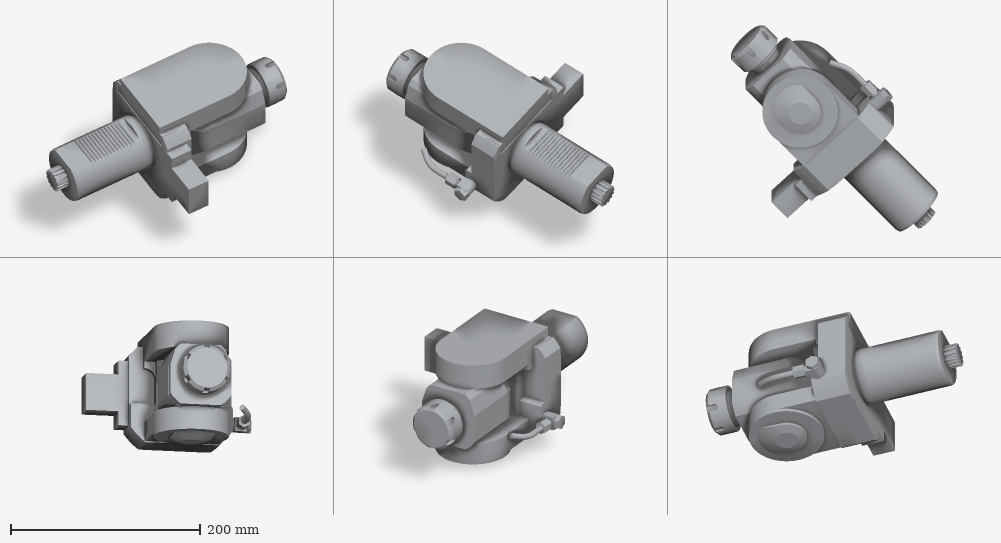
import cadquery as cq
import math



def box(x0, x1, y0, y1, z0, z1):
    """Box given by its limits along each axis."""
    return cq.Workplane("XY").box(x1 - x0, y1 - y0, z1 - z0, centered=False).translate((x0, y0, z0))


def along_y(y0, y1):
    """XZ sketch plane at y0 and the signed extrusion that takes a sketch to y1."""
    return cq.Workplane("XZ", origin=(0, y0, 0)), y0 - y1


def disc_y(radius, y0, y1, x=0, z=0):
    """Cylinder along Y from y0 to y1."""
    plane, length = along_y(y0, y1)
    return plane.center(x, z).circle(radius).extrude(length)


def prism_x(points, half_width):
    """Prism symmetric about X = 0 from a (y, z) outline."""
    return cq.Workplane("YZ").polyline(points).close().extrude(half_width, both=True)


flange_half = 55.0
flange_top = 49.0
flange_round = 67.5
flange_thick = 30.7
foot_back = 38.5
foot_top = -12.7
foot_chamfer = 2.2
face_bevel_radius = 61.5
face_bevel_depth = 0.8
ring_groove_radius = 32.0
ring_groove_depth = 1.7

rail_half = 44.3
rail_bottom = 34.0
rail_depth = 18.3
rail_gap = 0.5
rail_recess = 0.8

shank_radius = 60.0 / 2
neck_radius = 58.7 / 2
neck_length = 3.0
neck_groove_radius = 28.2
neck_groove_width = 1.7
shank_length = 94.5
shank_chamfer = 3.3
shank_chamfer_rise = 0.8
flat_height = 25.0
flat_start = 10.2
tooth_start = 15.8
tooth_rows_length = 56.0
tooth_count = 14
tooth_pitch = tooth_rows_length / tooth_count
tooth_depth = 1.7
tooth_width = 2.5

spline_end = 108.0
spline_outer = 12.5
spline_root = 10.5
spline_teeth = 14
spline_tooth_width = 2.5

block_end = 100.2
block_thick = 24.5
block_half_height = 20.0
pad_end = 65.4
pad_half_height = 35.0

pivot_y = 85.8
arm_half = 80.0 / 2
fork_top = 32.0
fork_bottom = -32.7
lid_top = 59.8
lid_bottom = 45.7
lid_front = 0.5
lid_corner = 0.8
arm_bottom = -53.7
disc_bottom = -57.3
column_half = 28.2
column_face = 41.5
wedge_bottom = 8.0
wedge_top = 25.5
wedge_edge_y = 46.0
wedge_nose_y = 55.0
wedge_toe_y = 45.5
wedge_nose_half = 8.3
web_bottom = 25.0
web_fillet = 12.0

screw_half_width = 22.0
screw_base_radius = 30.2
screw_tip_radius = 12.2
screw_bottom = -63.0

head_front = 135.5
head_half = 65.5 / 2
head_rear_y = 75.0
bevel_bottom_z = 7.2
bevel_bottom_radius = 38.2
bevel_top_radius = 25.8
head_corner = 21.5
shoulder_half = 27.0
shoulder_z = 27.0
side_top = 9.7
seam_y = 123.8
seam_width = 0.5
seam_depth = 0.3

spindle_radius = 17.7
spindle_flat = 17.0
spindle_flat_length = 4.5
collar_radius = 40.0 / 2
collar_chamfer = 1.0
collar_back = 141.2
nut_radius = 50.0 / 2
nut_back = 146.0
nut_front = 169.0
nut_chamfer = 3.5
nut_back_chamfer = 0.5
nut_slot_width = 6.5
nut_slot_length = 13.3
nut_slot_floor = 22.0
nut_slots = 6

fitting_x = -64.2
fitting_y = flange_thick
fitting_z = -31.0
fitting_radius = 15.2 / 2
body_left = -70.5
body_right = -57.3
bolt_left = -75.5
bolt_flats = 13.8
stub_radius = 14.5 / 2
stem_radius = 8.3 / 2
ferrule_radius = 9.7 / 2
ferrule_start = 40.5
hose_nut_start = 42.0
hose_nut_end = 54.3
hose_nut_flats = 12.0
hose_radius = 6.5 / 2
hose_bend_start = 69.8
hose_bend_radius = 27.7
hose_bend_angle = math.radians(38)
hose_tail = 10.8
hose_lean = math.radians(28)


def make_flange():
    plate = box(-flange_half, flange_half, 0, flange_thick, -flange_half, flange_top)
    foot = box(-flange_half, flange_half, 0, foot_back, -flange_half, foot_top)
    foot = foot.edges("|X and >Y and >Z").chamfer(foot_chamfer)
    body = plate.union(foot).intersect(disc_y(flange_round, 0, foot_back))

    plane, length = along_y(0, face_bevel_depth)
    ring = plane.circle(2 * flange_round).extrude(length)
    plane, length = along_y(face_bevel_depth, 0)
    slope = math.degrees(math.atan2(flange_round - face_bevel_radius, face_bevel_depth))
    cone = plane.circle(flange_round).extrude(length, taper=slope)
    body = body.cut(ring.cut(cone))

    body = body.cut(disc_y(ring_groove_radius, 0, ring_groove_depth))

    slot_half = rail_half + rail_gap
    body = body.cut(box(-slot_half, slot_half, 0, rail_depth, rail_bottom, lid_top))
    return body.union(box(-rail_half, rail_half, rail_recess, rail_depth, rail_bottom, flange_top))


def make_shank():
    profile = [
        (0, flange_thick),
        (neck_groove_radius, flange_thick),
        (neck_groove_radius, -neck_groove_width),
        (neck_radius, -neck_groove_width),
        (neck_radius, -neck_length),
        (shank_radius, -neck_length),
        (shank_radius, shank_chamfer - shank_length),
        (shank_radius - shank_chamfer_rise, -shank_length),
        (0, -shank_length),
    ]
    shank = cq.Workplane("XY").polyline(profile).close().revolve(360, (0, 0, 0), (0, 1, 0))
    shank = shank.cut(
        box(-shank_radius, shank_radius, -shank_length, -flat_start, flat_height, 2 * shank_radius)
    )
    for i in range(tooth_count):
        y = -tooth_start - (i + 0.5) * tooth_pitch
        groove = [
            (y - tooth_width / 2, flat_height),
            (y + tooth_width / 2, flat_height),
            (y, flat_height - tooth_depth),
        ]
        shank = shank.cut(prism_x(groove, shank_radius))
    return shank


def make_spline():
    core = disc_y(spline_root, -spline_end, -shank_length)
    tooth_half = spline_tooth_width / 2
    for i in range(spline_teeth):
        tooth = box(0, spline_outer, -spline_end, -shank_length, -tooth_half, tooth_half)
        core = core.union(tooth.rotate((0, 0, 0), (0, 1, 0), 360 / spline_teeth * i))
    return core


def make_side_block():
    pad = box(flange_half, pad_end, 0, block_thick, -pad_half_height, pad_half_height)
    return pad.union(box(flange_half, block_end, 0, block_thick, -block_half_height, block_half_height))


def arm(y0, z0, z1):
    """Arm with a round end about the pivot axis."""
    straight = box(-arm_half, arm_half, y0, pivot_y, z0, z1)
    return straight.union(pivot_disc(arm_half, z0, z1))


def pivot_disc(radius, z0, z1):
    return cq.Workplane("XY", origin=(0, pivot_y, z0)).circle(radius).extrude(z1 - z0)


def make_bracket():
    lid = arm(lid_front, lid_bottom, lid_top).edges("|Z and <Y").chamfer(lid_corner)
    bracket = lid.union(arm(flange_thick, fork_top, lid_bottom))
    bracket = bracket.union(arm(foot_back, arm_bottom, fork_bottom))
    bracket = bracket.union(pivot_disc(arm_half, disc_bottom, fork_bottom))

    column = box(-column_half, column_half, flange_thick, column_face, fork_bottom, fork_top)
    bracket = bracket.union(column)
    bracket = bracket.union(box(-arm_half, arm_half, flange_thick, foot_back, web_bottom, fork_top))
    for side in (-1, 1):
        plane, length = along_y(flange_thick, foot_back)
        flare = (
            plane.moveTo(side * column_half, web_bottom)
            .lineTo(side * (column_half + web_fillet), web_bottom)
            .radiusArc((side * column_half, web_bottom - web_fillet), -side * web_fillet)
            .close()
            .extrude(length)
        )
        bracket = bracket.union(flare)

    def wedge_outline(edge_y, nose_y):
        return [
            (-column_half, flange_thick),
            (-column_half, edge_y),
            (-wedge_nose_half, nose_y),
            (wedge_nose_half, nose_y),
            (column_half, edge_y),
            (column_half, flange_thick),
        ]

    upper_outline = wedge_outline(wedge_edge_y, wedge_nose_y)
    lower_outline = wedge_outline(column_face, wedge_toe_y)
    wedge = (
        cq.Workplane("XY", origin=(0, 0, wedge_bottom))
        .polyline(lower_outline)
        .close()
        .workplane(offset=wedge_top - wedge_bottom)
        .polyline(upper_outline)
        .close()
        .loft(ruled=True)
    )
    wedge_base = cq.Workplane("XY", origin=(0, 0, wedge_top)).polyline(upper_outline).close()
    return bracket.union(wedge).union(wedge_base.extrude(fork_top - wedge_top))


def make_pivot_screw():
    """Low conical cap, trimmed to a U outline that is round towards the flange."""
    profile = [
        (0, fork_bottom),
        (screw_base_radius, fork_bottom),
        (screw_base_radius, disc_bottom),
        (screw_tip_radius, screw_bottom),
        (0, screw_bottom),
    ]
    cap = cq.Workplane("XZ").polyline(profile).close().revolve(360, (0, 0, 0), (0, 1, 0))
    cap = cap.translate((0, pivot_y, 0))
    outline = pivot_disc(screw_half_width, screw_bottom, fork_bottom).union(
        box(
            -screw_half_width,
            screw_half_width,
            pivot_y,
            pivot_y + screw_base_radius,
            screw_bottom,
            fork_bottom,
        )
    )
    return cap.intersect(outline)


def head_section(y0, y1, inset=0):
    """Slice of the head: flat sides, two-step bevels on top, round corners below."""
    plane, length = along_y(y0, y1)
    corner_mid = math.hypot(head_half, head_corner) * math.sqrt(0.5)
    outline = (
        plane.moveTo(-head_corner, -head_half)
        .lineTo(head_corner, -head_half)
        .threePointArc((corner_mid, -corner_mid), (head_half, -head_corner))
        .lineTo(head_half, side_top)
        .lineTo(shoulder_half, shoulder_z)
        .lineTo(head_corner, fork_top)
        .lineTo(-head_corner, fork_top)
        .lineTo(-shoulder_half, shoulder_z)
        .lineTo(-head_half, side_top)
        .lineTo(-head_half, -head_corner)
        .threePointArc((-corner_mid, -corner_mid), (-head_corner, -head_half))
        .close()
    )
    if inset:
        outline = outline.offset2D(-inset)
    return outline.extrude(length)


def make_head():
    head = head_section(head_rear_y - head_half, head_front)

    round_end = (
        cq.Workplane("XY", origin=(0, head_rear_y, -head_half))
        .circle(head_half)
        .extrude(2 * head_half)
    )
    front = box(-head_half, head_half, head_rear_y, head_front, -head_half, head_half)
    head = head.intersect(round_end.union(front))

    profile = [
        (0, bevel_bottom_z),
        (bevel_bottom_radius, bevel_bottom_z),
        (bevel_top_radius, fork_top),
        (0, fork_top),
    ]
    cone = cq.Workplane("XZ").polyline(profile).close().revolve(360, (0, 0, 0), (0, 1, 0))
    cone = cone.translate((0, pivot_y, 0))
    ahead_of_pivot = box(-head_half, head_half, pivot_y, head_front, bevel_bottom_z, fork_top)
    below = box(-head_half, head_half, column_face, head_front, -head_half, bevel_bottom_z)
    head = head.intersect(below.union(ahead_of_pivot).union(cone))

    seam = (seam_y - seam_width / 2, seam_y + seam_width / 2)
    band = head_section(*seam)
    core = head_section(*seam, inset=seam_depth)
    return head.cut(band.cut(core))


def make_collet_nut():
    spindle = disc_y(spindle_radius, head_front, collar_back)
    flats_end = head_front + spindle_flat_length
    wrench_zone = box(
        -collar_radius, collar_radius, head_front, flats_end, -collar_radius, collar_radius
    )
    flats = box(-spindle_flat, spindle_flat, head_front, flats_end, -spindle_flat, spindle_flat)
    collar = disc_y(collar_radius, collar_back, nut_back).faces("<Y").chamfer(collar_chamfer)
    nut = disc_y(nut_radius, nut_back, nut_front).faces(">Y").chamfer(nut_chamfer)
    nut = nut.faces("<Y").chamfer(nut_back_chamfer)
    slot_half = nut_slot_width / 2
    slot_end = nut_front - nut_slot_length
    for i in range(nut_slots):
        slot = (
            cq.Workplane("XY", origin=(0, 0, nut_slot_floor))
            .moveTo(-slot_half, nut_front)
            .lineTo(-slot_half, slot_end + slot_half)
            .threePointArc((0, slot_end), (slot_half, slot_end + slot_half))
            .lineTo(slot_half, nut_front)
            .close()
            .extrude(nut_radius)
        )
        nut = nut.cut(slot.rotate((0, 0, 0), (0, 1, 0), 360 / nut_slots * i))
    return nut.union(collar).union(spindle.cut(wrench_zone.cut(flats)))


def make_fitting():
    def disc_x(radius, x0, x1):
        plane = cq.Workplane("YZ", origin=(x0, fitting_y, fitting_z))
        return plane.circle(radius).extrude(x1 - x0)

    body = disc_x(fitting_radius, body_left, body_right)
    body = body.union(
        box(
            body_left,
            body_right,
            fitting_y,
            fitting_y + fitting_radius,
            fitting_z - fitting_radius,
            fitting_z + fitting_radius,
        )
    )
    body = body.union(disc_x(stub_radius, body_right, -flange_half))

    corner_ratio = 2 / math.sqrt(3)
    bolt = (
        cq.Workplane("YZ", origin=(bolt_left, fitting_y, fitting_z))
        .transformed(rotate=(0, 0, 90))
        .polygon(6, bolt_flats * corner_ratio)
        .extrude(body_left - bolt_left)
    )
    stem = disc_y(stem_radius, fitting_y, hose_nut_start, fitting_x, fitting_z)
    ferrule = disc_y(ferrule_radius, ferrule_start, hose_nut_start, fitting_x, fitting_z)
    plane, length = along_y(hose_nut_start, hose_nut_end)
    nut = (
        plane.center(fitting_x, fitting_z)
        .transformed(rotate=(0, 0, 90))
        .polygon(6, hose_nut_flats * corner_ratio)
        .extrude(length)
    )
    return body.union(bolt).union(stem).union(ferrule).union(nut)


def make_hose():
    """Bent hose: straight, arc, straight tail, in a plane leaning up from +X."""

    def point(advance, offset):
        return cq.Vector(
            fitting_x + offset * math.cos(hose_lean),
            hose_bend_start + advance,
            fitting_z + offset * math.sin(hose_lean),
        )

    def bend(angle):
        return hose_bend_radius * math.sin(angle), hose_bend_radius * (1 - math.cos(angle))

    bend_end = bend(hose_bend_angle)
    tail_end = (
        bend_end[0] + hose_tail * math.cos(hose_bend_angle),
        bend_end[1] + hose_tail * math.sin(hose_bend_angle),
    )
    start = point(hose_nut_start - hose_bend_start, 0)
    path = cq.Wire.assembleEdges(
        [
            cq.Edge.makeLine(start, point(0, 0)),
            cq.Edge.makeThreePointArc(point(0, 0), point(*bend(hose_bend_angle / 2)), point(*bend_end)),
            cq.Edge.makeLine(point(*bend_end), point(*tail_end)),
        ]
    )
    section = cq.Workplane("XZ", origin=start.toTuple()).circle(hose_radius)
    return section.sweep(cq.Workplane(path))


result = make_flange()
for piece in (
    make_shank(),
    make_spline(),
    make_side_block(),
    make_bracket(),
    make_pivot_screw(),
    make_head(),
    make_collet_nut(),
    make_fitting(),
    make_hose(),
):
    result = result.union(piece)